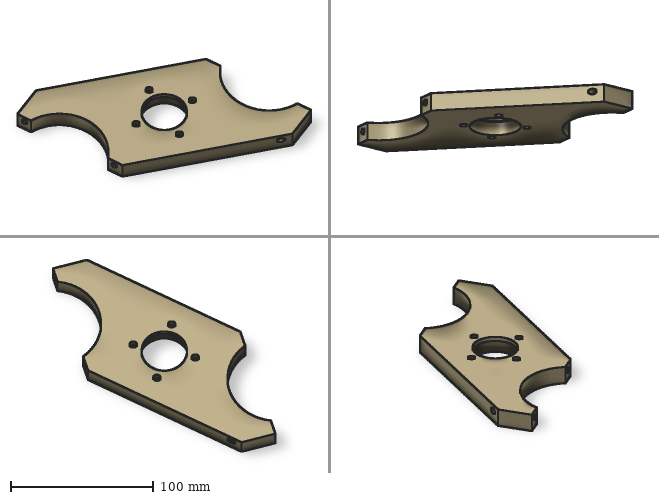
import cadquery as cq
import math

length = 174.0
width = 111.9
thickness = 13.0
corner_cut = length / 2

notch_half_width = 31.8
notch_depth = 21.0
notch_radius = (notch_half_width**2 + notch_depth**2) / (2 * notch_depth)
notch_offset = 43.8

bore_diameter = 32.0
seat_diameter = 36.0
lip_thickness = 3.3

mount_diameter = 5.0
mount_radius = 22.5
mount_angle = 60.0
mount_count = 4

cross_diameter = 4.2
cross_height = 8.0
tip_hole_inset = 6.0
inner_hole_offset = 7.0
inner_hole_depth = 31.3
drill_point_angle = 118.0


def make_plate():
    x, y = length / 2, width / 2
    outline = [
        (-x, -y),
        (x - corner_cut, -y),
        (x, corner_cut - y),
        (x, y),
        (corner_cut - x, y),
        (-x, y - corner_cut),
    ]
    return cq.Workplane("XY").polyline(outline).close().extrude(thickness)


def vertical_cylinder(x, y, diameter, height):
    return cq.Workplane("XY").center(x, y).circle(diameter / 2).extrude(height)


def cross_hole(x, depth):
    """Drilled hole with a conical end, running in +Y from the front edge."""
    radius = cross_diameter / 2
    point_length = radius / math.tan(math.radians(drill_point_angle / 2))
    half_profile = [(0, 0), (radius, 0), (radius, depth), (0, depth + point_length)]
    drill = cq.Workplane("XY").polyline(half_profile).close().revolve(360, (0, 0), (0, 1))
    return drill.translate((x, -width / 2, cross_height))


def edge_cuts():
    """Notch and cross holes of the front edge."""
    notch_y = notch_depth - notch_radius - width / 2
    notch = vertical_cylinder(-notch_offset, notch_y, 2 * notch_radius, thickness)
    tip_hole = cross_hole(tip_hole_inset - length / 2, width)
    inner_hole = cross_hole(-inner_hole_offset, inner_hole_depth)
    return notch.union(tip_hole).union(inner_hole)


result = make_plate()

for turn in (0, 180):
    result = result.cut(edge_cuts().rotate((0, 0, 0), (0, 0, 1), turn))

result = result.cut(vertical_cylinder(0, 0, bore_diameter, thickness))
result = result.cut(vertical_cylinder(0, 0, seat_diameter, thickness - lip_thickness))

for i in range(mount_count):
    angle = math.radians(mount_angle + i * 360 / mount_count)
    x = mount_radius * math.cos(angle)
    y = mount_radius * math.sin(angle)
    result = result.cut(vertical_cylinder(x, y, mount_diameter, thickness))